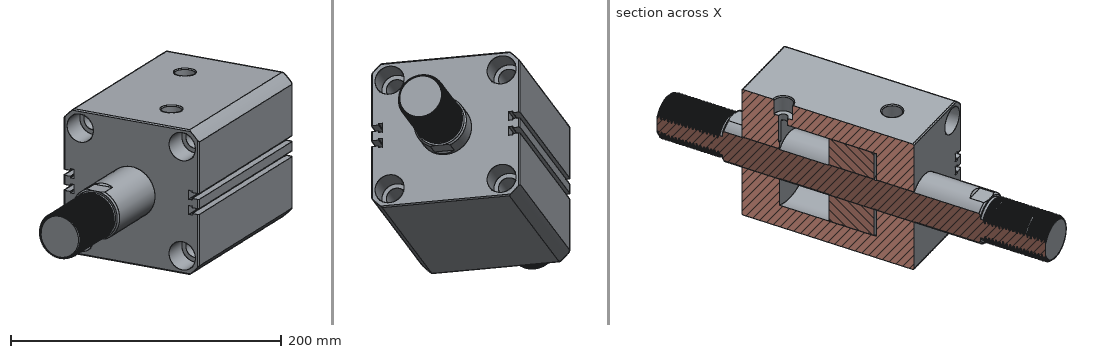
import cadquery as cq
import math


HOUSING_WIDTH = 114.0
HOUSING_FRONT_Y = -53.0
HOUSING_BACK_Y = 93.0
HOUSING_LENGTH = HOUSING_BACK_Y - HOUSING_FRONT_Y
HOUSING_MID_Y = (HOUSING_FRONT_Y + HOUSING_BACK_Y) / 2
CORNER_ARC_RADIUS = 75.0
HOUSING_END_CHAMFER = 1.0

MOUNT_HOLE_OFFSET = 43.0
MOUNT_HOLE_DIAMETER = 15.2
COUNTERBORE_DIAMETER = 22.0
COUNTERBORE_DEPTH = 19.8

SLOT_OFFSET = 6.0
SLOT_DEPTH = 8.5
SLOT_MOUTH_WIDTH = 4.5
SLOT_HEAD_WIDTH = 7.0
SLOT_HEAD_DEPTH = 3.0

PORT_OFFSET_X = 15.0
PORT_OFFSET_Y = 38.0
PORT_DIAMETER = 15.5
PORT_MOUTH_DIAMETER = 17.0
PORT_MOUTH_CHAMFER = (PORT_MOUTH_DIAMETER - PORT_DIAMETER) / 2
PORT_DEPTH = 13.2
PORT_PASSAGE_DIAMETER = 7.3

BORE_DIAMETER = 80.0
BORE_LENGTH = 82.0
PISTON_LENGTH = 39.0

ROD_LENGTH = 330.0
ROD_DIAMETER = 40.0
ROD_RADIUS = ROD_DIAMETER / 2
SHOULDER_CHAMFER = 1.3
FLAT_ACROSS = 37.0
FLAT_LENGTH = 14.5

THREAD_CREST_RADIUS = 18.0
THREAD_PITCH = 3.0
THREAD_DEPTH = 1.85
FLANK_POINTS = 24
THREAD_END_LENGTH = 55.5
RELIEF_LENGTH = 2.3
RELIEF_RADIUS = 17.0
TIP_CHAMFER = 2.0
TIP_CLEARANCE = 1.5

SHOULDER_Y = ROD_LENGTH / 2 - THREAD_END_LENGTH
THREAD_START_Y = SHOULDER_Y + RELIEF_LENGTH
THREAD_LENGTH = THREAD_END_LENGTH - RELIEF_LENGTH


def y_cylinder(diameter, length, start_y, x=0, z=0):
    """A cylinder along +Y that starts at start_y."""
    return (
        cq.Workplane("XZ", origin=(0, start_y, 0))
        .center(x, z)
        .circle(diameter / 2)
        .extrude(-length)
    )


def polar_point(radius, angle):
    return (radius * math.cos(angle), radius * math.sin(angle))


def make_housing_block():
    """A square block with chamfered ends, its long corners turned to one common arc."""
    block = (
        cq.Workplane("XY")
        .box(HOUSING_WIDTH, HOUSING_LENGTH, HOUSING_WIDTH)
        .faces("<Y or >Y")
        .chamfer(HOUSING_END_CHAMFER)
        .translate((0, HOUSING_MID_Y, 0))
    )
    return block.intersect(y_cylinder(2 * CORNER_ARC_RADIUS, HOUSING_LENGTH, HOUSING_FRONT_Y))


def cut_mounting_holes(body):
    for x in (-MOUNT_HOLE_OFFSET, MOUNT_HOLE_OFFSET):
        for z in (-MOUNT_HOLE_OFFSET, MOUNT_HOLE_OFFSET):
            body = body.cut(y_cylinder(MOUNT_HOLE_DIAMETER, HOUSING_LENGTH, HOUSING_FRONT_Y, x, z))
            for start_y in (HOUSING_FRONT_Y, HOUSING_BACK_Y - COUNTERBORE_DEPTH):
                body = body.cut(y_cylinder(COUNTERBORE_DIAMETER, COUNTERBORE_DEPTH, start_y, x, z))
    return body


def cut_side_slots(body):
    for side in (-1, 1):
        for z in (-SLOT_OFFSET, SLOT_OFFSET):
            mouth_x = side * (HOUSING_WIDTH - SLOT_DEPTH) / 2
            mouth = cq.Workplane("XY").box(SLOT_DEPTH, HOUSING_LENGTH, SLOT_MOUTH_WIDTH)
            body = body.cut(mouth.translate((mouth_x, HOUSING_MID_Y, z)))
            head_x = side * (HOUSING_WIDTH / 2 - SLOT_DEPTH + SLOT_HEAD_DEPTH / 2)
            head = cq.Workplane("XY").box(SLOT_HEAD_DEPTH, HOUSING_LENGTH, SLOT_HEAD_WIDTH)
            body = body.cut(head.translate((head_x, HOUSING_MID_Y, z)))
    return body


def cut_ports(body):
    """Chamfered port holes, each with a narrow passage down to the bore."""
    top_z = HOUSING_WIDTH / 2
    for side in (-1, 1):
        x = side * PORT_OFFSET_X
        y = HOUSING_MID_Y - side * PORT_OFFSET_Y
        port_profile = [
            (0, 0),
            (PORT_MOUTH_DIAMETER / 2, 0),
            (PORT_DIAMETER / 2, -PORT_MOUTH_CHAMFER),
            (PORT_DIAMETER / 2, -PORT_DEPTH),
            (PORT_PASSAGE_DIAMETER / 2, -PORT_DEPTH),
            (PORT_PASSAGE_DIAMETER / 2, -top_z + ROD_RADIUS),
            (0, -top_z + ROD_RADIUS),
        ]
        port = cq.Workplane("XZ").polyline(port_profile).close().revolve(360, (0, 0), (0, 1))
        body = body.cut(port.translate((x, y, top_z)))
    return body


def make_housing():
    body = make_housing_block()
    body = cut_mounting_holes(body)
    body = cut_side_slots(body)
    body = cut_ports(body)
    body = body.cut(y_cylinder(BORE_DIAMETER, BORE_LENGTH, HOUSING_MID_Y - BORE_LENGTH / 2))
    return body.cut(y_cylinder(ROD_DIAMETER, HOUSING_LENGTH, HOUSING_FRONT_Y))


def make_piston():
    piston = y_cylinder(BORE_DIAMETER, PISTON_LENGTH, -PISTON_LENGTH / 2)
    return piston.cut(y_cylinder(ROD_DIAMETER, PISTON_LENGTH, -PISTON_LENGTH / 2))


def make_shank():
    """The plain middle of the rod, with a thread relief beyond each shoulder and wrench flats."""
    end_outline = [
        (ROD_RADIUS, SHOULDER_Y - SHOULDER_CHAMFER),
        (ROD_RADIUS - SHOULDER_CHAMFER, SHOULDER_Y),
        (RELIEF_RADIUS, SHOULDER_Y),
        (RELIEF_RADIUS, THREAD_START_Y),
        (0, THREAD_START_Y),
    ]
    mirrored_outline = [(r, -y) for r, y in reversed(end_outline)]
    outline = cq.Workplane("XY").polyline(mirrored_outline + end_outline).close()
    shank = outline.revolve(360, (0, 0), (0, 1))
    for end in (-1, 1):
        for face in (-1, 1):
            shank = shank.cut(make_flat_cutter(end, face))
    return shank


def make_flat_cutter(end, face):
    """The stock removed for one wrench flat, with a 45-degree wall at the flat's inner end."""
    flat_z = FLAT_ACROSS / 2
    flat_depth = ROD_RADIUS - flat_z
    inner_y = SHOULDER_Y - FLAT_LENGTH
    corners = [
        (SHOULDER_Y, flat_z),
        (SHOULDER_Y, ROD_RADIUS),
        (inner_y, ROD_RADIUS),
        (inner_y + flat_depth, flat_z),
    ]
    outline = cq.Workplane("YZ").polyline([(end * y, face * z) for y, z in corners]).close()
    return outline.extrude(ROD_RADIUS, both=True)


def make_threaded_end():
    """A stud along +Z with a helical V-thread and a chamfered tip.

    Across the axis the thread is a closed cam: its radius grows evenly from root to crest over
    half a turn and falls back over the other half. Twisting the cam along Z makes the thread.
    """
    rising_flank = cq.Workplane("XY").parametricCurve(
        lambda t: polar_point(THREAD_CREST_RADIUS - THREAD_DEPTH * (1 - t), math.pi * t),
        N=FLANK_POINTS,
        makeWire=False,
    )
    falling_flank = cq.Workplane("XY").parametricCurve(
        lambda t: polar_point(THREAD_CREST_RADIUS - THREAD_DEPTH * t, math.pi * (1 + t)),
        N=FLANK_POINTS,
        makeWire=False,
    )
    cam = cq.Wire.assembleEdges([rising_flank.val(), falling_flank.val()])
    twist_angle = 360 * THREAD_LENGTH / THREAD_PITCH
    stud = cq.Workplane(obj=cam).toPending().twistExtrude(THREAD_LENGTH, twist_angle)
    envelope = cq.Workplane("XY").circle(THREAD_CREST_RADIUS + TIP_CLEARANCE).extrude(THREAD_LENGTH)
    envelope = envelope.faces(">Z").chamfer(TIP_CHAMFER + TIP_CLEARANCE)
    return stud.intersect(envelope, clean=False)


def make_rod():
    rod = make_shank()
    threaded_end = make_threaded_end().translate((0, 0, THREAD_START_Y))
    for tilt in (-90, 90):
        rod = rod.union(threaded_end.rotate((0, 0, 0), (1, 0, 0), tilt), clean=False)
    return rod


housing = make_housing()
piston = make_piston()
rod = make_rod()

result = cq.Compound.makeCompound([*housing.vals(), *piston.vals(), *rod.vals()])